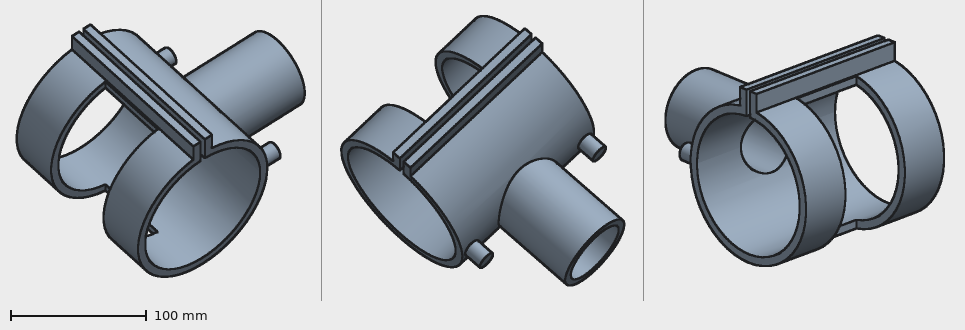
import cadquery as cq

width = 140.0
ring_outer_radius = 62.0
wall = 7.0
ring_inner_radius = ring_outer_radius - wall

gap = 4.0
lug_thickness = 7.0
lug_top = 76.2

pipe_outer_diameter = 63.0
pipe_bore_diameter = 51.0
pipe_end = 130.0

pin_diameter = 14.2
pin_end = 77.0
pin_edge_distance = 10.0

window_width = 60.3
window_edge_y = -10.0


def rod_along_x(radius):
    return cq.Workplane("YZ", origin=(-width / 2, 0, 0)).circle(radius).extrude(width)


def rod_along_y(diameter, end, x=0):
    """Cylinder from the ring axis plane out to y = end."""
    return cq.Workplane("XZ").center(x, 0).circle(diameter / 2).extrude(-end)


def box_above_axis(depth, height):
    return cq.Workplane("XY").box(width, depth, height, centered=(True, True, False))


body = rod_along_x(ring_outer_radius)
body = body.union(box_above_axis(gap + 2 * lug_thickness, lug_top))
body = body.union(rod_along_y(pipe_outer_diameter, pipe_end))
pin_x = width / 2 - pin_edge_distance
for x in (-pin_x, pin_x):
    body = body.union(rod_along_y(pin_diameter, pin_end, x))

body = body.cut(rod_along_x(ring_inner_radius))
body = body.cut(box_above_axis(gap, lug_top))
body = body.cut(rod_along_y(pipe_bore_diameter, pipe_end))

window_depth = ring_outer_radius + window_edge_y
window = cq.Workplane("XY").box(window_width, window_depth, 2 * ring_outer_radius)
window = window.translate((0, window_edge_y - window_depth / 2, 0))

result = body.cut(window)